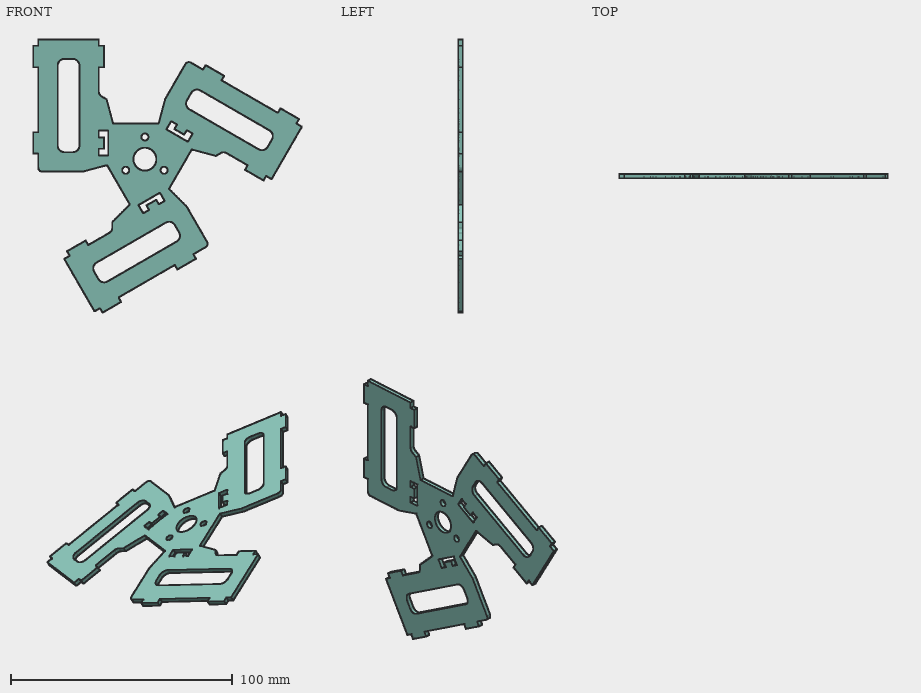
import cadquery as cq
import math

THICKNESS = 2.1
ARM_COUNT = 3
ARM_STEP = 360 / ARM_COUNT

HUB_APOTHEM = 16.2
HUB_EDGE_START = -14.3
HUB_EDGE_END = 6.2
BORE_DIAMETER = 10.2
SCREW_DIAMETER = 3.1
SCREW_CIRCLE_RADIUS = 10.0

PANEL_LEFT = -48.1
PANEL_WIDTH = 27.4
PANEL_TOP = 54.0
PANEL_HEIGHT = 59.7
PANEL_RIGHT = PANEL_LEFT + PANEL_WIDTH
PANEL_BOTTOM = PANEL_TOP - PANEL_HEIGHT
PANEL_CORNER_RADIUS = 1.9

FLANK_ANGLE = math.radians(15)
FLANK_LENGTH = 11.2
SHOULDER_ANGLE = math.radians(30)
SHOULDER_RADIUS = 2.5

TAB_DEPTH = 2.3
TAB_HEIGHT = 9.8
UPPER_TAB_TOP = PANEL_TOP - 2.8
LOWER_TAB_BOTTOM = PANEL_BOTTOM + 8.1

WINDOW_WIDTH = 9.8
WINDOW_HEIGHT = 42.0
WINDOW_CORNER_RADIUS = 3.0

SOCKET_WIDTH = 4.2
SOCKET_HEIGHT = 11.1
SOCKET_CENTER_Z = 7.3
TONGUE_HEIGHT = 5.2


def plate(left, bottom, width, height):
    """Rectangular block of plate thickness placed by its lower left corner."""
    return (
        cq.Workplane("XZ")
        .center(left + width / 2, bottom + height / 2)
        .rect(width, height)
        .extrude(THICKNESS)
    )


def turn(point, degrees):
    """Rotate an (X, Z) point about the hub axis, from +X towards +Z."""
    angle = math.radians(degrees)
    x, z = point
    return (
        x * math.cos(angle) - z * math.sin(angle),
        x * math.sin(angle) + z * math.cos(angle),
    )


def arm_body():
    """Panel with its flanks, reaching in to the hub axis."""
    upper_root = (HUB_EDGE_START, HUB_APOTHEM)
    lower_root = turn((HUB_EDGE_END, HUB_APOTHEM), ARM_STEP)
    shoulder = (
        upper_root[0] - FLANK_LENGTH * math.sin(FLANK_ANGLE),
        upper_root[1] + FLANK_LENGTH * math.cos(FLANK_ANGLE),
    )
    shoulder_run = shoulder[0] - PANEL_RIGHT
    shoulder_end = (PANEL_RIGHT, shoulder[1] + shoulder_run * math.tan(SHOULDER_ANGLE))
    flank_drop = lower_root[1] - PANEL_BOTTOM
    flank_foot = (lower_root[0] - flank_drop / math.tan(FLANK_ANGLE), PANEL_BOTTOM)
    body = (
        cq.Workplane("XZ")
        .polyline([
            (0, 0),
            upper_root,
            shoulder,
            shoulder_end,
            (PANEL_RIGHT, PANEL_TOP),
            (PANEL_LEFT, PANEL_TOP),
            (PANEL_LEFT, PANEL_BOTTOM),
            flank_foot,
            lower_root,
        ])
        .close()
        .extrude(THICKNESS)
    )
    outer_corner = cq.selectors.NearestToPointSelector((PANEL_LEFT, -THICKNESS / 2, PANEL_BOTTOM))
    inner_corner = cq.selectors.NearestToPointSelector(
        (shoulder_end[0], -THICKNESS / 2, shoulder_end[1])
    )
    body = body.edges("|Y").edges(outer_corner).fillet(PANEL_CORNER_RADIUS)
    return body.edges("|Y").edges(inner_corner).fillet(SHOULDER_RADIUS)


def edge_tabs():
    """Upper tab bar crossing the panel, and a lower tab on the outer edge only."""
    upper = plate(
        PANEL_LEFT - TAB_DEPTH,
        UPPER_TAB_TOP - TAB_HEIGHT,
        PANEL_WIDTH + 2 * TAB_DEPTH,
        TAB_HEIGHT,
    )
    lower = plate(PANEL_LEFT - TAB_DEPTH, LOWER_TAB_BOTTOM, 2 * TAB_DEPTH, TAB_HEIGHT)
    return upper.union(lower)


def window():
    """Long round-cornered opening in the middle of the panel."""
    center_x = PANEL_LEFT + PANEL_WIDTH / 2
    center_z = PANEL_BOTTOM + PANEL_HEIGHT / 2
    opening = plate(
        center_x - WINDOW_WIDTH / 2,
        center_z - WINDOW_HEIGHT / 2,
        WINDOW_WIDTH,
        WINDOW_HEIGHT,
    )
    return opening.edges("|Y").fillet(WINDOW_CORNER_RADIUS)


def socket():
    """Slot beside the hub, with a tongue as deep as the edge tabs left standing in it."""
    opening = plate(
        PANEL_RIGHT, SOCKET_CENTER_Z - SOCKET_HEIGHT / 2, SOCKET_WIDTH, SOCKET_HEIGHT
    )
    tongue = plate(PANEL_RIGHT, SOCKET_CENTER_Z - TONGUE_HEIGHT / 2, TAB_DEPTH, TONGUE_HEIGHT)
    return opening.cut(tongue)


def hub_body():
    """Six-sided hub through the arm roots."""
    outline = []
    for index in range(ARM_COUNT):
        outline.append(turn((HUB_EDGE_END, HUB_APOTHEM), index * ARM_STEP))
        outline.append(turn((HUB_EDGE_START, HUB_APOTHEM), index * ARM_STEP))
    return cq.Workplane("XZ").polyline(outline).close().extrude(THICKNESS)


def hub_holes():
    """Central bore and the ring of screw holes."""
    bore = cq.Workplane("XZ").circle(BORE_DIAMETER / 2).extrude(THICKNESS)
    screws = (
        cq.Workplane("XZ")
        .polarArray(SCREW_CIRCLE_RADIUS, 90, 360, ARM_COUNT)
        .circle(SCREW_DIAMETER / 2)
        .extrude(THICKNESS)
    )
    return bore.union(screws)


arm = arm_body().union(edge_tabs()).cut(window())
arm_socket = socket()

result = hub_body()
for index in range(ARM_COUNT):
    result = result.union(arm.rotate((0, 0, 0), (0, 1, 0), index * ARM_STEP))
for index in range(ARM_COUNT):
    result = result.cut(arm_socket.rotate((0, 0, 0), (0, 1, 0), index * ARM_STEP))
result = result.cut(hub_holes())